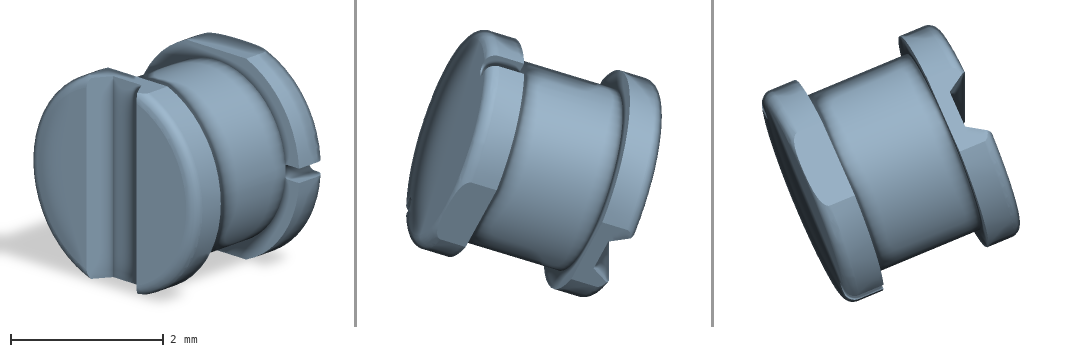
import cadquery as cq

flange_diameter = 3.0
core_diameter = 2.5
length = 2.5
height = 2.8
flange_thickness = 0.5
rim_radius = 0.15

groove_floor_width = 0.51
groove_mouth_width = 0.9
groove_depth = 0.3

notch_width = 0.2
notch_straight_depth = 0.2

front_y = -length / 2
rear_y = length / 2


def disc(diameter, start_y, thickness):
    """Cylinder along +Y starting at start_y."""
    plane = cq.Workplane("XZ", origin=(0, start_y, 0))
    return plane.circle(diameter / 2).extrude(-thickness)


def make_body():
    front = disc(flange_diameter, front_y, flange_thickness).faces("<Y").edges().fillet(rim_radius)
    rear = disc(flange_diameter, rear_y - flange_thickness, flange_thickness)
    rear = rear.faces(">Y").edges().fillet(rim_radius)
    core = disc(core_diameter, front_y + flange_thickness, length - 2 * flange_thickness)
    envelope = cq.Workplane("XY").box(flange_diameter, length, height)
    return front.union(core).union(rear).intersect(envelope)


def make_groove():
    floor_y = front_y + groove_depth
    return (
        cq.Workplane("XY", origin=(0, 0, -height / 2))
        .moveTo(-groove_mouth_width / 2, front_y)
        .lineTo(groove_mouth_width / 2, front_y)
        .lineTo(groove_floor_width / 2, floor_y)
        .lineTo(-groove_floor_width / 2, floor_y)
        .close()
        .extrude(height)
    )


def make_notch(side):
    """Notch in the rear flange; side is -1 for -X and +1 for +X."""
    rim_x = side * flange_diameter / 2
    arc_center_x = side * (flange_diameter / 2 - notch_straight_depth)
    bottom_x = arc_center_x - side * notch_width / 2
    return (
        cq.Workplane("XZ", origin=(0, rear_y, 0))
        .moveTo(rim_x, -notch_width / 2)
        .lineTo(arc_center_x, -notch_width / 2)
        .threePointArc((bottom_x, 0), (arc_center_x, notch_width / 2))
        .lineTo(rim_x, notch_width / 2)
        .close()
        .extrude(flange_thickness)
    )


result = make_body().cut(make_groove())
for side in (-1, 1):
    result = result.cut(make_notch(side))